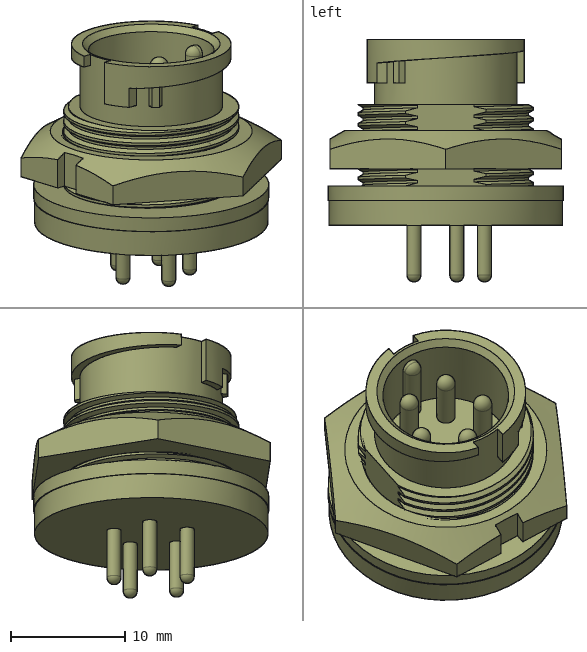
import cadquery as cq
import math

flange_lower_height = 2.2
flange_top = 3.47
nut_bottom = 4.95
nut_height = 3.38
stem_top = 10.6
mouth_top = 16.3
socket_depth = 7.45
solder_pin_length = 4.96

flange_lower_radius = 10.24
flange_upper_radius = 10.31
thread_crest_radius = 7.68
thread_root_radius = 7.26
thread_pitch = 0.94
thread_root_flat = 0.22
thread_flank_slope = math.tan(math.radians(30))
thread_turns = 9
thread_start = 2.47
stem_flat_x = -6.82

barrel_radius = 6.25
socket_radius = 5.5
socket_chamfer = 0.53

ring_radius = 7.0
ring_depth = 3.8
slot_width = 2.6
stop_edge_x = 3.57
ramp_lead = 2.75
ramp_high_depth = 0.92
detent_angle = 40.0
detent_radius = 6.75
detent_base_width = 1.11
detent_tip_width = 0.66

pin_circle_radius = 3.4
pin_offset_angles = [0.0, 73.5, -73.5, 145.0, -145.0]
contact_radius = 0.81
contact_top = 14.08
solder_pin_radius = 0.62
key_radius = 0.77
key_y = 5.16
key_top = 15.07

nut_across_corners = 23.46
nut_top_radius = 8.85
nut_chamfer_angle = 30.0
nut_bore_radius = 7.3
nut_thread_radius = 7.95
nut_thread_first_turn = 1
nut_thread_turns = 6
nut_notch_width = 2.34
nut_notch_depth = 0.83

overlap = 0.5
thread_overlap = 0.07


def cylinder(radius, bottom, top):
    return cq.Workplane("XY").workplane(offset=bottom).circle(radius).extrude(top - bottom)


def box(x_min, x_max, y_min, y_max, z_min, z_max):
    size = (x_max - x_min, y_max - y_min, z_max - z_min)
    return cq.Workplane("XY").box(*size, centered=False).translate((x_min, y_min, z_min))


def half_turn(shape):
    return shape.rotate((0, 0, 0), (0, 0, 1), 180)


def domed_pin(radius, bottom, top):
    """Upright pin with a hemispherical upper end."""
    shoulder = top - radius
    dome = cq.Workplane("XY").sphere(radius).translate((0, 0, shoulder))
    return cylinder(radius, bottom, shoulder).union(dome)


def make_flange():
    lower = cylinder(flange_lower_radius, 0, flange_lower_height)
    return lower.union(cylinder(flange_upper_radius, flange_lower_height, flange_top))


def cut_helical_groove(body, section, start_z, turns):
    """Cut a right-handed groove, one turn at a time; section points are (radius, height)."""
    path = cq.Wire.makeHelix(thread_pitch, thread_pitch, section[0][0])
    groove_turn = cq.Workplane("XZ").polyline(section).close().sweep(cq.Workplane(path), isFrenet=True)
    for turn in range(turns):
        body = body.cut(groove_turn.translate((0, 0, start_z + turn * thread_pitch)))
    return body


def make_threaded_stem():
    """Stem with a right-handed helical V groove and one flat side."""
    outer_radius = thread_crest_radius + thread_overlap
    root_half = thread_root_flat / 2
    outer_half = root_half + (outer_radius - thread_root_radius) * thread_flank_slope
    section = [
        (thread_root_radius, -root_half),
        (outer_radius, -outer_half),
        (outer_radius, outer_half),
        (thread_root_radius, root_half),
    ]
    stem = cylinder(thread_crest_radius, flange_top, stem_top)
    stem = cut_helical_groove(stem, section, thread_start, thread_turns)
    beyond_flat = box(-outer_radius, stem_flat_x, -outer_radius, outer_radius, flange_top, stem_top)
    return stem.cut(beyond_flat)


def make_ramp_cutter():
    """Space below one helical ramp, running from the stop at +Y round by -X to the slot at -Y."""
    inner_radius = barrel_radius - overlap
    outer_radius = ring_radius + overlap
    ramp_drop = ramp_lead / 2
    path = cq.Wire.makeHelix(ramp_lead, ramp_drop, barrel_radius)
    cutter = (
        cq.Workplane("XZ")
        .moveTo(inner_radius, 0)
        .lineTo(outer_radius, 0)
        .lineTo(outer_radius, -ring_depth)
        .lineTo(inner_radius, -ring_depth)
        .close()
        .sweep(cq.Workplane(path), isFrenet=True)
        .rotate((0, 0, 0), (0, 0, 1), 90)
        .translate((0, 0, mouth_top - ramp_high_depth - ramp_drop))
    )
    stop = box(-stop_edge_x, overlap, 0, outer_radius, 0, mouth_top)
    return cutter.cut(stop)


def make_detent():
    """Tapered upright rib with a rounded crest, near the end of one ramp."""
    inner_radius = barrel_radius - overlap
    taper = (detent_base_width - detent_tip_width) / 2 / (detent_radius - barrel_radius)
    inner_half = detent_base_width / 2 + overlap * taper
    tip_half = detent_tip_width / 2
    tip_x = math.sqrt(detent_radius**2 - tip_half**2)
    return (
        cq.Workplane("XY")
        .workplane(offset=mouth_top - ring_depth)
        .moveTo(inner_radius, -inner_half)
        .lineTo(tip_x, -tip_half)
        .threePointArc((detent_radius, 0), (tip_x, tip_half))
        .lineTo(inner_radius, inner_half)
        .close()
        .extrude(ring_depth - ramp_high_depth)
        .rotate((0, 0, 0), (0, 0, 1), -detent_angle)
    )


def make_bayonet_ring():
    ring = cylinder(ring_radius, mouth_top - ring_depth, mouth_top)
    reach = ring_radius + overlap
    ring = ring.cut(box(-slot_width / 2, slot_width / 2, -reach, reach, 0, mouth_top))
    ramp_cutter = make_ramp_cutter()
    detent = make_detent()
    ring = ring.cut(ramp_cutter).cut(half_turn(ramp_cutter))
    return ring.union(detent).union(half_turn(detent))


def make_key():
    """Domed key on the +Y wall of the socket; its rounded top runs straight into the wall."""
    shoulder = key_top - key_radius
    floor = mouth_top - socket_depth
    wall_y = (socket_radius + barrel_radius) / 2
    key = domed_pin(key_radius, floor, key_top).translate((0, key_y, 0))
    key = key.union(box(-key_radius, key_radius, key_y, wall_y, floor, shoulder))
    ridge = cq.Workplane("XZ").circle(key_radius).extrude(key_y - wall_y).translate((0, key_y, shoulder))
    return key.union(ridge).intersect(cylinder(wall_y, 0, mouth_top))


def make_mouth_cone():
    """Cone that chamfers the open edge of the socket at 45 degrees."""
    apex_z = mouth_top - socket_radius - socket_chamfer
    return (
        cq.Workplane("XZ")
        .moveTo(0, apex_z)
        .lineTo(socket_radius + socket_chamfer, mouth_top)
        .lineTo(0, mouth_top)
        .close()
        .revolve(360, (0, 0, 0), (0, 1, 0))
    )


def make_connector():
    body = make_flange().union(make_threaded_stem())
    body = body.union(cylinder(barrel_radius, stem_top, mouth_top)).union(make_bayonet_ring())

    socket_floor = mouth_top - socket_depth
    body = body.cut(cylinder(socket_radius, socket_floor, mouth_top))
    body = body.cut(make_mouth_cone())

    body = body.union(make_key())
    contact = domed_pin(contact_radius, socket_floor, contact_top)
    solder_pin = domed_pin(solder_pin_radius, 0, solder_pin_length).rotate((0, 0, 0), (1, 0, 0), 180)
    for offset_angle in pin_offset_angles:
        x = pin_circle_radius * math.sin(math.radians(offset_angle))
        y = -pin_circle_radius * math.cos(math.radians(offset_angle))
        body = body.union(contact.translate((x, y, 0))).union(solder_pin.translate((x, y, 0)))
    return body


def cut_nut_thread(nut):
    """Internal V thread whose sharp groove clears the crest of the stem thread."""
    inner_radius = nut_bore_radius - thread_overlap
    inner_half = (nut_thread_radius - inner_radius) * thread_flank_slope
    section = [(inner_radius, -inner_half), (nut_thread_radius, 0), (inner_radius, inner_half)]
    start_z = thread_start + (nut_thread_first_turn + 0.5) * thread_pitch
    nut = nut.cut(cylinder(nut_bore_radius, nut_bottom, nut_bottom + nut_height))
    return cut_helical_groove(nut, section, start_z, nut_thread_turns)


def make_nut():
    """Hex nut with corners on the X axis, a conical upper face and a notch in its -Y side."""
    nut_top = nut_bottom + nut_height
    corner_radius = nut_across_corners / 2
    nut = cq.Workplane("XY").workplane(offset=nut_bottom).polygon(6, nut_across_corners).extrude(nut_height)

    envelope_radius = corner_radius + overlap
    chamfer_drop = (envelope_radius - nut_top_radius) * math.tan(math.radians(nut_chamfer_angle))
    envelope = (
        cq.Workplane("XZ")
        .moveTo(0, nut_bottom)
        .lineTo(envelope_radius, nut_bottom)
        .lineTo(envelope_radius, nut_top - chamfer_drop)
        .lineTo(nut_top_radius, nut_top)
        .lineTo(0, nut_top)
        .close()
        .revolve(360, (0, 0, 0), (0, 1, 0))
    )
    nut = nut.intersect(envelope)

    notch_half = nut_notch_width / 2
    half_across_flats = corner_radius * math.cos(math.pi / 6)
    notch_floor_y = nut_notch_depth - half_across_flats
    nut = nut.cut(box(-notch_half, notch_half, -corner_radius, notch_floor_y, nut_bottom, nut_top))
    return cut_nut_thread(nut)


connector = make_connector()
nut = make_nut()
result = cq.Compound.makeCompound([connector.solids().val(), nut.solids().val()])